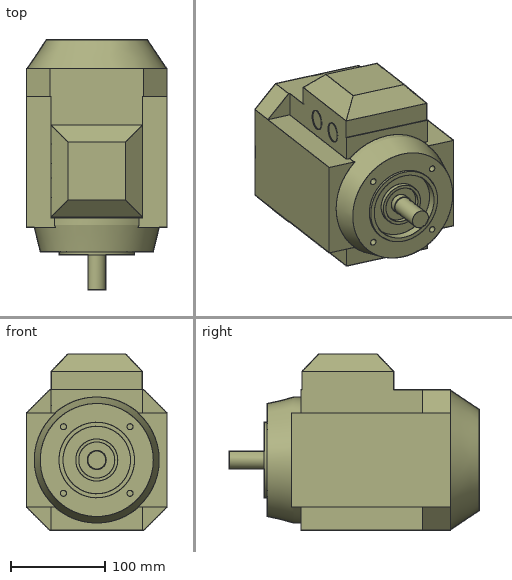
import cadquery as cq


body_width = 149.5
corner_chamfer = 25.0
core_width = 97.0
core_length = 158.8
collar_length = 29.7
side_height = body_width - 2 * corner_chamfer
side_length = 168.9

cowl_length = 30.5
cowl_front_radius = 74.0
cowl_rear_radius = 53.5

bell_radius = 67.0
bell_cone_start = 166.5
flange_radius = 60.0
flange_distance = 194.5
spigot_radius = 40.0
spigot_height = 3.2
recess_radius = 35.8
recess_depth = 10.0
hub_radius = 22.3
hub_height = 5.0
hub_bore_radius = 19.0
bolt_spacing = 70.5
bolt_hole_diameter = 6.5
bolt_hole_depth = 10.5

overall_length = 265.5
shaft_radius = 9.5
shoulder_radius = 10.0
shoulder_height = 2.5
shaft_tip_distance = overall_length - cowl_length
spigot_distance = flange_distance + spigot_height
recess_floor_distance = spigot_distance - recess_depth
hub_distance = recess_floor_distance + hub_height
shoulder_distance = hub_distance + shoulder_height

box_back = 60.3
box_length = 97.5
box_wall_top = 94.0
lid_slope_height = 18.5
lid_slope_width = 17.8

entry_radius = 10.4
entry_depth = 1.0
entry_height = 68.2
entry_spacing = 36.0
entry_middle = 108.9


def block(width, height, length):
    """Box centred on the shaft axis, running from Y = 0 towards -Y."""
    return cq.Workplane("XY").box(width, length, height).translate((0, -length / 2, 0))


def disc(radius, start, end):
    """Cylinder on the shaft axis between two distances ahead of Y = 0."""
    return cq.Workplane("XZ", origin=(0, -start, 0)).circle(radius).extrude(end - start)


def cone(start_radius, end_radius, start, end):
    """Truncated cone on the shaft axis between two distances ahead of Y = 0."""
    profile = [(0, -start), (start_radius, -start), (end_radius, -end), (0, -end)]
    return cq.Workplane("XY").polyline(profile).close().revolve(360, (0, 0, 0), (0, 1, 0))


def make_housing():
    core = block(core_width, body_width, core_length)
    sides = block(body_width, side_height, side_length)
    collar = block(body_width, body_width, collar_length).edges("|Y").chamfer(corner_chamfer)
    return core.union(sides).union(collar)


def make_terminal_box():
    middle = -(box_back + box_length / 2)
    walls = (
        cq.Workplane("XY", origin=(0, middle, 0))
        .rect(core_width, box_length)
        .extrude(box_wall_top)
    )
    lid = (
        cq.Workplane("XY", origin=(0, middle, box_wall_top))
        .rect(core_width, box_length)
        .workplane(offset=lid_slope_height)
        .rect(core_width - 2 * lid_slope_width, box_length - 2 * lid_slope_width)
        .loft(ruled=True)
    )
    return walls.union(lid)


def make_cable_entries():
    entry_distances = [entry_middle - entry_spacing / 2, entry_middle + entry_spacing / 2]
    centres = [(-distance, entry_height) for distance in entry_distances]
    return (
        cq.Workplane("YZ", origin=(-core_width / 2, 0, 0))
        .pushPoints(centres)
        .circle(entry_radius)
        .extrude(entry_depth)
    )


def make_end_bell():
    bell = disc(bell_radius, 0, bell_cone_start)
    bell = bell.union(cone(bell_radius, flange_radius, bell_cone_start, flange_distance))
    bell = bell.union(disc(spigot_radius, flange_distance, spigot_distance))
    bell = bell.cut(disc(recess_radius, recess_floor_distance, spigot_distance))
    bell = bell.union(disc(hub_radius, recess_floor_distance, hub_distance))
    bell = bell.cut(disc(hub_bore_radius, recess_floor_distance, hub_distance))
    bolt_holes = (
        cq.Workplane("XZ", origin=(0, -flange_distance, 0))
        .rect(bolt_spacing, bolt_spacing, forConstruction=True)
        .vertices()
        .circle(bolt_hole_diameter / 2)
        .extrude(-bolt_hole_depth)
    )
    return bell.cut(bolt_holes)


def make_shaft():
    shoulder = disc(shoulder_radius, 0, shoulder_distance)
    return shoulder.union(disc(shaft_radius, 0, shaft_tip_distance))


fan_cowl = cone(cowl_front_radius, cowl_rear_radius, 0, -cowl_length)

result = (
    make_housing()
    .union(make_terminal_box())
    .cut(make_cable_entries())
    .union(fan_cowl)
    .union(make_end_bell())
    .union(make_shaft())
)